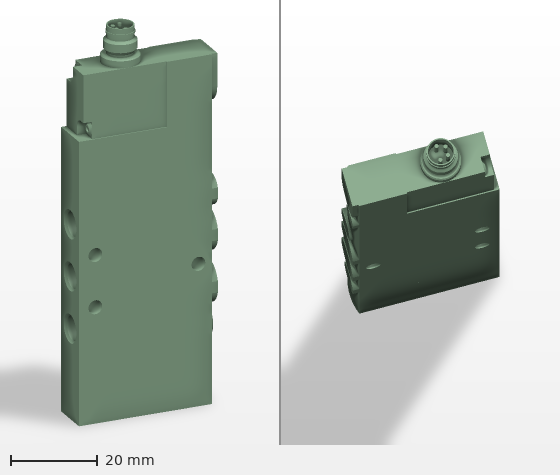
import cadquery as cq


WIDTH = 10.1
FULL_DEPTH = 35.0
FULL_HEIGHT = 96.0

EDGE_DEPTH = 33.5
CROWN_DEPTH = 34.5

CAP_HEIGHT = 12.4
BODY_HEIGHT = 46.0
BODY_TOP = CAP_HEIGHT + BODY_HEIGHT
BODY_MID = CAP_HEIGHT + BODY_HEIGHT / 2
HEAD_TOP = 86.9

PORT_PITCH = 13.0
PORT_DIAMETER = 6.0
PORT_MOUTH_DIAMETER = 7.1
PORT_MOUTH_DEPTH = (PORT_MOUTH_DIAMETER - PORT_DIAMETER) / 2
PORT_DEPTH = 3.8
MOUNT_DIAMETER = 3.5
FRONT_MOUNT_Y = 4.1
BACK_MOUNT_Y = 30.1
BOSS_ROOT_Y = 28.8
PORT_BOSS_DIAMETER = 10.5
VENT_BOSS_DIAMETER = 7.7
VENT_BOSS_X = 1.4
VENT_BOSS_OFFSET = 16.8

COVER_BOTTOM = 70.7
COVER_FRONT_Y = 1.2
COVER_BACK_Y = 22.1
COVER_INSET = 0.3
COVER_WIDTH = WIDTH - 2 * COVER_INSET
COVER_MID = (COVER_BOTTOM + HEAD_TOP) / 2

SCREW_X = 3.3
SCREW_OFFSET = 6.0
POCKET_DIAMETER = 4.5
POCKET_DEPTH = 2.2
SCREW_DIAMETER = 3.6
SCREW_TOP_DIAMETER = 2.0
SCREW_HEIGHT = 0.6
SOCKET_DIAMETER = 1.3
SOCKET_DEPTH = 0.4

PAD_WIDTH = 9.4
PAD_ROUND_Z = 78.6
HEAD_BOSS_DIAMETER = 5.8
HEAD_BOSS_X = -2.3
HEAD_BOSS_Z = 70.7

CONNECTOR_Y = 12.7
FLANGE_DIAMETER = 9.4
FLANGE_TOP = 88.9
FLANGE_CHAMFER = 0.3
NECK_DIAMETER = 6.5
NECK_TOP = 89.5
BAND_DIAMETER = 8.0
BAND_BOTTOM = 90.3
BAND_TOP = 92.4
SLEEVE_BOTTOM = 92.9
COLLAR_DIAMETER = 6.9
COLLAR_BOTTOM = 94.1
COLLAR_TOP = 94.7
BORE_DIAMETER = 6.0
BORE_DEPTH = 4.3
PIN_DIAMETER = 1.0
PIN_HEIGHT = 3.8
FRONT_PIN = (1.1, -1.4)
BACK_PIN = (1.7, 0.6)


def section_block(bottom, top):
    """Block with the shared section between two heights."""
    half = WIDTH / 2
    return (
        cq.Workplane("XY", origin=(0, 0, bottom))
        .moveTo(-half, 0)
        .lineTo(half, 0)
        .lineTo(half, EDGE_DEPTH)
        .threePointArc((0, CROWN_DEPTH), (-half, EDGE_DEPTH))
        .close()
        .extrude(top - bottom)
    )


def box(x_range, y_range, z_range):
    """Box given by its limits along each axis."""
    sizes = [high - low for low, high in (x_range, y_range, z_range)]
    corner = (x_range[0], y_range[0], z_range[0])
    return cq.Workplane("XY").box(*sizes, centered=False).translate(corner)


def cylinder_y(diameter, x, z, start_y, end_y):
    """Cylinder along Y."""
    start = cq.Vector(x, start_y, z)
    solid = cq.Solid.makeCylinder(diameter / 2, end_y - start_y, start, cq.Vector(0, 1, 0))
    return cq.Workplane(solid)


def cone_y(base_diameter, end_diameter, length, base, direction):
    """Truncated cone along Y: direction 1 points to the back, -1 to the front."""
    axis = cq.Vector(0, direction, 0)
    solid = cq.Solid.makeCone(base_diameter / 2, end_diameter / 2, length, cq.Vector(*base), axis)
    return cq.Workplane(solid)


def back_boss(diameter, x, z):
    """Round boss on the crowned back, cut flush with the sides of the block."""
    boss = cylinder_y(diameter, x, z, BOSS_ROOT_Y, FULL_DEPTH)
    limits = box((-WIDTH / 2, WIDTH / 2), (0, FULL_DEPTH), (0, FULL_HEIGHT))
    return boss.intersect(limits)


def make_end_cap():
    return section_block(0, CAP_HEIGHT)


def port(z):
    """Blind front port with a conical mouth."""
    hole = cylinder_y(PORT_DIAMETER, 0, z, 0, PORT_DEPTH)
    mouth = cone_y(PORT_MOUTH_DIAMETER, PORT_DIAMETER, PORT_MOUTH_DEPTH, (0, 0, z), 1)
    return hole.union(mouth)


def make_valve_body():
    body = section_block(CAP_HEIGHT, BODY_TOP)
    between_ports = [BODY_MID - PORT_PITCH / 2, BODY_MID + PORT_PITCH / 2]

    for z in between_ports:
        body = body.union(back_boss(PORT_BOSS_DIAMETER, 0, z))
    for side in (-1, 1):
        z = BODY_MID + side * VENT_BOSS_OFFSET
        body = body.union(back_boss(VENT_BOSS_DIAMETER, side * VENT_BOSS_X, z))

    for step in (-1, 0, 1):
        body = body.cut(port(BODY_MID + step * PORT_PITCH))

    mounts = [(FRONT_MOUNT_Y, z) for z in between_ports] + [(BACK_MOUNT_Y, BODY_MID)]
    side_face = cq.Workplane("YZ", origin=(-WIDTH / 2, 0, 0))
    drills = side_face.pushPoints(mounts).circle(MOUNT_DIAMETER / 2).extrude(WIDTH)
    return body.cut(drills)


def cut_cover_steps(head):
    """Set the cover back from the front and the sides of the head."""
    heights = (COVER_BOTTOM, HEAD_TOP)
    head = head.cut(box((-WIDTH / 2, WIDTH / 2), (0, COVER_FRONT_Y), heights))
    for x_range in ((-WIDTH / 2, -COVER_WIDTH / 2), (COVER_WIDTH / 2, WIDTH / 2)):
        head = head.cut(box(x_range, (0, COVER_BACK_Y), heights))
    return head


def add_cover_screw(head, side):
    """Screw in its pocket: side -1 is at the top on -X, side 1 at the bottom on +X."""
    x = side * SCREW_X
    z = COVER_MID - side * SCREW_OFFSET
    floor_y = COVER_FRONT_Y + POCKET_DEPTH
    reach = POCKET_DIAMETER / 2
    corner_x = side * COVER_WIDTH / 2
    corner_z = COVER_BOTTOM if side > 0 else HEAD_TOP
    depths = (COVER_FRONT_Y, floor_y)

    pocket = cylinder_y(POCKET_DIAMETER, x, z, *depths)
    to_side = box(sorted((x, corner_x)), depths, (z - reach, z + reach))
    to_end = box((x - reach, x + reach), depths, sorted((z, corner_z)))
    opening = box((-COVER_WIDTH / 2, COVER_WIDTH / 2), depths, (COVER_BOTTOM, HEAD_TOP))
    head = head.cut(pocket.union(to_side).union(to_end).intersect(opening))

    screw = cone_y(SCREW_DIAMETER, SCREW_TOP_DIAMETER, SCREW_HEIGHT, (x, floor_y, z), -1)
    top_y = floor_y - SCREW_HEIGHT
    socket = cylinder_y(SOCKET_DIAMETER, x, z, top_y, top_y + SOCKET_DEPTH)
    return head.union(screw.cut(socket).intersect(opening))


def back_pad():
    """Raised pad on the back, running from the top of the head down to a round end."""
    half = PAD_WIDTH / 2
    straight = box((-half, half), (BOSS_ROOT_Y, FULL_DEPTH), (PAD_ROUND_Z, HEAD_TOP))
    return straight.union(cylinder_y(PAD_WIDTH, 0, PAD_ROUND_Z, BOSS_ROOT_Y, FULL_DEPTH))


def connector():
    """Round plug with a flange, a band and a collar, bored for four contact pins."""
    flange = FLANGE_DIAMETER / 2
    neck = NECK_DIAMETER / 2
    band = BAND_DIAMETER / 2
    collar = COLLAR_DIAMETER / 2
    profile = [
        (0, HEAD_TOP),
        (flange, HEAD_TOP),
        (flange, FLANGE_TOP - FLANGE_CHAMFER),
        (flange - FLANGE_CHAMFER, FLANGE_TOP),
        (neck, FLANGE_TOP),
        (neck, NECK_TOP),
        (band, BAND_BOTTOM),
        (band, BAND_TOP),
        (neck, SLEEVE_BOTTOM),
        (neck, COLLAR_BOTTOM),
        (collar, COLLAR_BOTTOM),
        (collar, COLLAR_TOP),
        (neck, COLLAR_TOP),
        (neck, FULL_HEIGHT),
        (0, FULL_HEIGHT),
    ]
    plug = cq.Workplane("XZ").polyline(profile).close().revolve(360, (0, 0, 0), (0, 1, 0))

    bore_floor = FULL_HEIGHT - BORE_DEPTH
    floor_plane = cq.Workplane("XY", origin=(0, 0, bore_floor))
    pin_places = [(side * x, y) for x, y in (FRONT_PIN, BACK_PIN) for side in (-1, 1)]
    bore = floor_plane.circle(BORE_DIAMETER / 2).extrude(BORE_DEPTH)
    pins = floor_plane.pushPoints(pin_places).circle(PIN_DIAMETER / 2).extrude(PIN_HEIGHT)
    return plug.cut(bore).union(pins).translate((0, CONNECTOR_Y, 0))


def make_pilot_head():
    head = cut_cover_steps(section_block(BODY_TOP, HEAD_TOP))
    for side in (-1, 1):
        head = add_cover_screw(head, side)
    head = head.union(back_pad())
    head = head.union(back_boss(HEAD_BOSS_DIAMETER, HEAD_BOSS_X, HEAD_BOSS_Z))
    return head.union(connector())


end_cap = make_end_cap()
valve_body = make_valve_body()
pilot_head = make_pilot_head()

result = cq.Compound.makeCompound([end_cap.val(), valve_body.val(), pilot_head.val()])